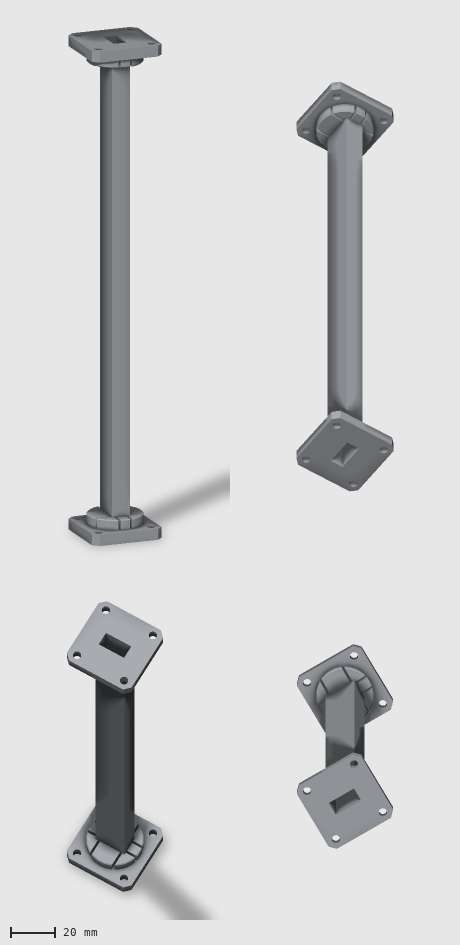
import cadquery as cq

length = 228.5
flange_side = 33.4

flange_thickness = 5.0
corner_chamfer = 2.7
hole_diameter = 3.7
hole_spacing_x = 24.2
hole_spacing_y = 25.4

collar_diameter = 25.5
collar_height = 4.8
collar_edge_chamfer = 0.5
groove_width = 1.1
groove_offset_x = 5.7
groove_offset_y = 2.7

tube_width = 14.9
tube_depth = 8.7
passage_width = 13.0
passage_depth = 6.5


def make_flange():
    """Square flange with cut corners and four bolt holes, standing on Z = 0."""
    return (
        cq.Workplane("XY")
        .rect(flange_side, flange_side)
        .extrude(flange_thickness)
        .edges("|Z")
        .chamfer(corner_chamfer)
        .faces(">Z")
        .workplane()
        .rect(hole_spacing_x, hole_spacing_y, forConstruction=True)
        .vertices()
        .hole(hole_diameter)
    )


def make_collar():
    """Collar on the flange, split by full-height grooves running out from the tube."""
    collar = (
        cq.Workplane("XY", origin=(0, 0, flange_thickness))
        .circle(collar_diameter / 2)
        .extrude(collar_height)
        .faces(">Z")
        .edges()
        .chamfer(collar_edge_chamfer)
    )
    grooves = (
        cq.Workplane("XY", origin=(0, 0, flange_thickness))
        .pushPoints([(-groove_offset_x, 0), (groove_offset_x, 0)])
        .rect(groove_width, collar_diameter)
        .extrude(collar_height)
        .pushPoints([(0, -groove_offset_y), (0, groove_offset_y)])
        .rect(collar_diameter, groove_width)
        .extrude(collar_height)
    )
    return collar.cut(grooves)


lower_end = make_flange().union(make_collar())
upper_end = lower_end.mirror("XY").translate((0, 0, length))
tube = cq.Workplane("XY").rect(tube_width, tube_depth).extrude(length)
passage = cq.Workplane("XY").rect(passage_width, passage_depth).extrude(length)

result = lower_end.union(upper_end).union(tube).cut(passage)
result = result.translate((0, 0, -length / 2))